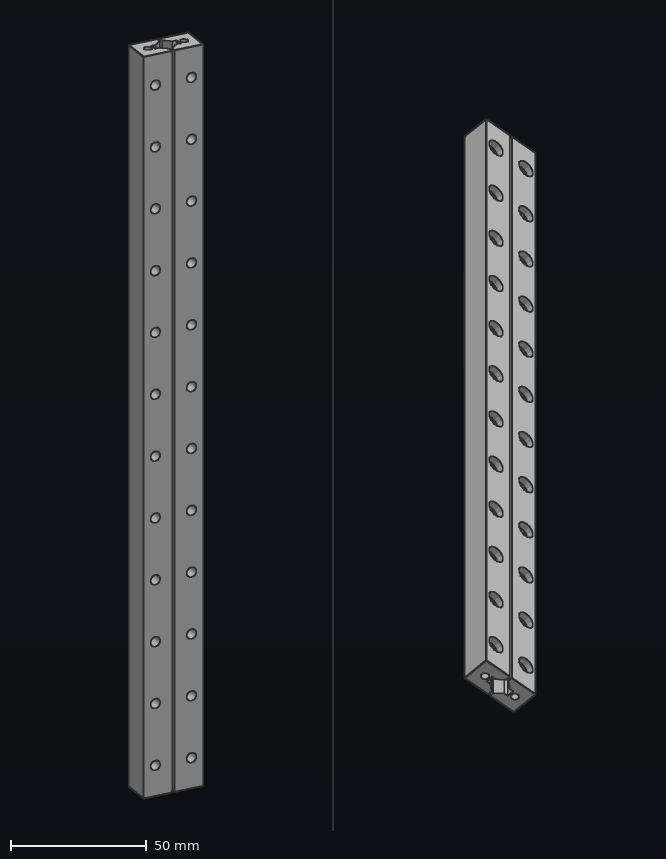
import cadquery as cq

LENGTH = 300.0
THICKNESS = 12.0
PAIR_WIDTH = 25.0

RAIL_GAP = 1.0
RAIL_INNER = RAIL_GAP / 2
RAIL_OUTER = PAIR_WIDTH / 2
EDGE_CHAMFER = 0.15

GROOVE_WIDTH = 8.0
GROOVE_DEPTH = 3.0
RELIEF_WIDTH = 3.0
RELIEF_DEPTH = 4.8

HOLE_LINE_Y = 7.5

HOLE_COUNT = 12
HOLE_PITCH = LENGTH / HOLE_COUNT
HOLE_DIAMETER = 4.0
COUNTERBORE_DIAMETER = 7.0
COUNTERBORE_DEPTH = 3.0

END_HOLE_DIAMETER = 3.0
END_HOLE_DEPTH = 6.0
END_HOLE_TIP = 1.5


def rail_blank():
    """Grooved, chamfered bar on the +Y side, centred in X and Z, groove facing -Y."""
    half_thickness = THICKNESS / 2
    half_groove = GROOVE_WIDTH / 2
    half_relief = RELIEF_WIDTH / 2
    groove_root = RAIL_INNER + GROOVE_DEPTH
    relief_bottom = RAIL_INNER + RELIEF_DEPTH
    outline = [
        (-half_thickness, RAIL_OUTER),
        (-half_thickness, RAIL_INNER),
        (-half_groove, RAIL_INNER),
        (-half_relief, groove_root),
        (-half_relief, relief_bottom),
        (half_relief, relief_bottom),
        (half_relief, groove_root),
        (half_groove, RAIL_INNER),
        (half_thickness, RAIL_INNER),
        (half_thickness, RAIL_OUTER),
    ]
    bar = cq.Workplane("XY").polyline(outline).close().extrude(LENGTH / 2, both=True)
    broad_face_edges = bar.faces("<X or >X").edges()
    return bar.faces(">Y").edges().add(broad_face_edges).chamfer(EDGE_CHAMFER)


def cut_mounting_holes(rail):
    """Holes run along X and are counterbored from the -X face."""
    first_z = -(HOLE_COUNT - 1) * HOLE_PITCH / 2
    centres = [(HOLE_LINE_Y, first_z + i * HOLE_PITCH) for i in range(HOLE_COUNT)]
    face = cq.Workplane("YZ", origin=(-THICKNESS / 2, 0, 0)).pushPoints(centres)
    through = face.circle(HOLE_DIAMETER / 2).extrude(THICKNESS)
    counterbores = face.circle(COUNTERBORE_DIAMETER / 2).extrude(COUNTERBORE_DEPTH)
    return rail.cut(through).cut(counterbores)


def cut_end_holes(rail):
    """One blind hole at the top end and its mirror image at the bottom end."""
    radius = END_HOLE_DIAMETER / 2
    top = LENGTH / 2
    half_section = [
        (0, top),
        (radius, top),
        (radius, top - END_HOLE_DEPTH),
        (0, top - END_HOLE_DEPTH - END_HOLE_TIP),
    ]
    drill = (
        cq.Workplane("XZ")
        .polyline(half_section)
        .close()
        .revolve(360, (0, 0, 0), (0, 1, 0))
        .translate((0, HOLE_LINE_Y, 0))
    )
    return rail.cut(drill).cut(drill.mirror("XY"))


def make_rail(side):
    """Complete rail on the +Y side (side = 1) or the -Y side (side = -1)."""
    rail = cut_end_holes(cut_mounting_holes(rail_blank()))
    if side < 0:
        rail = rail.mirror("XZ")
    return rail


rails = [make_rail(side) for side in (1, -1)]

result = cq.Compound.makeCompound([rail.solids().val() for rail in rails])